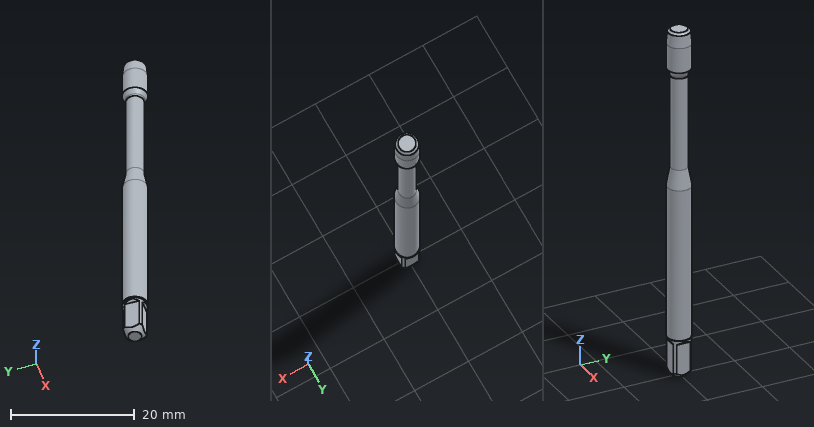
import cadquery as cq

total_length = 63.2

shank_diameter = 4.27
drive_diameter = 4.1
drive_tip_diameter = 2.2
neck_diameter = 3.02
head_diameter = 4.24
head_heel_diameter = 3.3
head_lead_diameter = 3.85
head_tip_diameter = 2.9

drive_sides = 4
drive_width = 3.28
drive_flat_height = 6.3
drive_tip_height = 1.0

shank_start = 7.15
shank_chamfer_height = 0.15
shank_end = 34.6
neck_start = 38.05

head_lead_end = total_length - 0.4
head_body_end = total_length - 2.55
head_body_start = total_length - 7.1
head_heel = total_length - 8.05
neck_end = total_length - 8.45


def revolved_body():
    """Turned body about Z, listed as (diameter, height) from drive to head."""
    stations = [
        (drive_tip_diameter, 0),
        (drive_diameter, drive_tip_height),
        (drive_diameter, shank_start - shank_chamfer_height),
        (shank_diameter, shank_start),
        (shank_diameter, shank_end),
        (neck_diameter, neck_start),
        (neck_diameter, neck_end),
        (head_heel_diameter, head_heel),
        (head_diameter, head_body_start),
        (head_diameter, head_body_end),
        (head_lead_diameter, head_lead_end),
        (head_tip_diameter, total_length),
    ]
    outline = [(diameter / 2, height) for diameter, height in stations]
    return (
        cq.Workplane("XZ")
        .polyline([(0, 0)] + outline + [(0, total_length)])
        .close()
        .revolve(360, (0, 0, 0), (0, 1, 0))
    )


def flat_cutter():
    """Block that cuts the +X drive flat, with a 45 degree run-out at its upper end."""
    flat_offset = drive_width / 2
    depth = (shank_diameter - drive_width) / 2
    return (
        cq.Workplane("XZ")
        .moveTo(flat_offset, 0)
        .lineTo(flat_offset, drive_flat_height)
        .line(depth, depth)
        .lineTo(flat_offset + depth, 0)
        .close()
        .extrude(shank_diameter / 2, both=True)
    )


result = revolved_body()
for side in range(drive_sides):
    angle = side * 360 / drive_sides
    result = result.cut(flat_cutter().rotate((0, 0, 0), (0, 0, 1), angle))